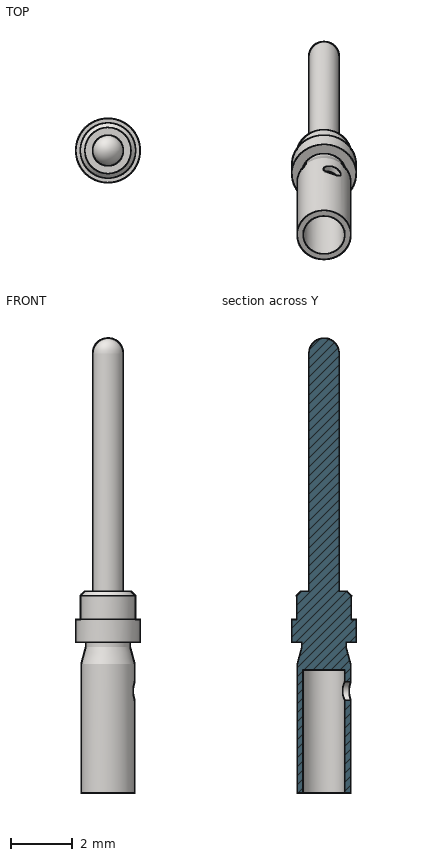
import cadquery as cq

pin_diameter = 1.0
shoulder_diameter = 1.8
flange_diameter = 2.1
neck_diameter = 1.45
barrel_diameter = 1.75
bore_diameter = 1.35
inspection_hole_diameter = 0.6

overall_length = 14.8
barrel_length = 4.2
taper_length = 0.55
neck_length = 0.15
flange_thickness = 0.75
shoulder_length = 0.92
shoulder_chamfer = 0.15
bore_depth = 4.0
inspection_hole_height = 3.32

neck_bottom = barrel_length + taper_length
flange_bottom = neck_bottom + neck_length
flange_top = flange_bottom + flange_thickness
shoulder_top = flange_top + shoulder_length
dome_bottom = overall_length - pin_diameter / 2


def cylinder(diameter, bottom, top):
    """Cylinder on the Z axis between two levels."""
    return cq.Workplane("XY").workplane(offset=bottom).circle(diameter / 2).extrude(top - bottom)


def contact_pin():
    """Slender pin with a hemispherical tip."""
    shaft = cylinder(pin_diameter, shoulder_top, dome_bottom)
    tip = cq.Workplane("XY").sphere(pin_diameter / 2).translate((0, 0, dome_bottom))
    return shaft.union(tip)


def collar():
    """Retention flange with a chamfered shoulder above it and a narrow neck below it."""
    neck = cylinder(neck_diameter, neck_bottom, flange_bottom)
    flange = cylinder(flange_diameter, flange_bottom, flange_top)
    shoulder = cylinder(shoulder_diameter, flange_top, shoulder_top)
    shoulder = shoulder.faces(">Z").chamfer(shoulder_chamfer)
    return neck.union(flange).union(shoulder)


def crimp_barrel():
    """Crimp barrel that tapers into the neck, with a blind wire bore from below."""
    barrel = cylinder(barrel_diameter, 0, barrel_length)
    taper = (
        cq.Workplane("XY")
        .workplane(offset=barrel_length)
        .circle(barrel_diameter / 2)
        .workplane(offset=taper_length)
        .circle(neck_diameter / 2)
        .loft()
    )
    return barrel.union(taper).cut(cylinder(bore_diameter, 0, bore_depth))


def inspection_hole():
    """Radial hole through the +X wall of the barrel into the bore."""
    return (
        cq.Workplane("YZ")
        .center(0, inspection_hole_height)
        .circle(inspection_hole_diameter / 2)
        .extrude(barrel_diameter)
    )


result = crimp_barrel().union(collar()).union(contact_pin()).cut(inspection_hole())